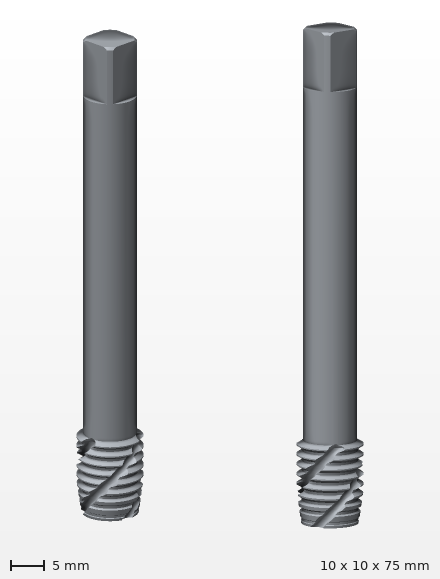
import cadquery as cq
import math

TOTAL_LENGTH = 75.0

HEAD_HEIGHT = 12.5
THREAD_DIAMETER = 10.0
ROOT_DIAMETER = 8.4
THREAD_PITCH = 1.5
CREST_WIDTH = 0.19
ROOT_WIDTH = 0.4
TOP_CREST_HEIGHT = 11.9
TIP_DIAMETER = 8.55
TAPER_LENGTH = 4.9

FLUTE_COUNT = 3
FLUTE_RADIUS = 1.35
FLUTE_FLOOR_RADIUS = 3.75
FLUTE_LEAD = 27.0
FLUTE_TOP_HEIGHT = 12.1
FLUTE_TOP_ANGLE = -87.0
RUNOUT_HEIGHT = 1.2
RUNOUT_SLOPE_ANGLE = 23.0

SHANK_DIAMETER = 8.0
DRIVE_WIDTH = 6.3
DRIVE_LENGTH = 8.9
DRIVE_CHAMFER = 0.4

THREAD_RADIUS = THREAD_DIAMETER / 2
ROOT_RADIUS = ROOT_DIAMETER / 2
TIP_RADIUS = TIP_DIAMETER / 2
SHANK_RADIUS = SHANK_DIAMETER / 2


def make_head_blank():
    """Head cylinder with a tapered lead-in below and a cone down to the shank above."""
    return (
        cq.Workplane("XZ")
        .moveTo(0, 0)
        .lineTo(TIP_RADIUS, 0)
        .lineTo(THREAD_RADIUS, TAPER_LENGTH)
        .lineTo(THREAD_RADIUS, TOP_CREST_HEIGHT + CREST_WIDTH / 2)
        .lineTo(SHANK_RADIUS, HEAD_HEIGHT)
        .lineTo(0, HEAD_HEIGHT)
        .close()
        .revolve(360, (0, 0, 0), (0, 1, 0))
    )


def make_thread_groove(height):
    """Ring with a V section and a narrow flat root, centred on the given height."""
    half_mouth = (THREAD_PITCH - CREST_WIDTH) / 2
    half_root = ROOT_WIDTH / 2
    flank_slope = (half_mouth - half_root) / (THREAD_RADIUS - ROOT_RADIUS)
    overshoot = CREST_WIDTH
    half_outer = half_mouth + flank_slope * overshoot
    outer_radius = THREAD_RADIUS + overshoot
    return (
        cq.Workplane("XZ")
        .moveTo(ROOT_RADIUS, height - half_root)
        .lineTo(outer_radius, height - half_outer)
        .lineTo(outer_radius, height + half_outer)
        .lineTo(ROOT_RADIUS, height + half_root)
        .close()
        .revolve(360, (0, 0, 0), (0, 1, 0))
    )


def make_flute(top_angle):
    """Round flute that winds around Z, then slopes outward from the given angle until it runs out."""
    twist = 360 * FLUTE_TOP_HEIGHT / FLUTE_LEAD
    centre_radius = FLUTE_FLOOR_RADIUS + FLUTE_RADIUS
    spiral = (
        cq.Workplane("XY")
        .moveTo(centre_radius, 0)
        .circle(FLUTE_RADIUS)
        .twistExtrude(FLUTE_TOP_HEIGHT, twist)
        .rotate((0, 0, 0), (0, 0, 1), -twist)
    )
    runout_shift = RUNOUT_HEIGHT * math.tan(math.radians(RUNOUT_SLOPE_ANGLE))
    runout = (
        cq.Workplane("XY", origin=(centre_radius, 0, FLUTE_TOP_HEIGHT))
        .circle(FLUTE_RADIUS)
        .workplane(offset=RUNOUT_HEIGHT)
        .center(runout_shift, 0)
        .circle(FLUTE_RADIUS)
        .loft(ruled=True)
    )
    return [cutter.rotate((0, 0, 0), (0, 0, 1), top_angle) for cutter in (spiral, runout)]


def cut_flutes(body):
    """Cut all the flutes and their run-outs from a body."""
    for index in range(FLUTE_COUNT):
        for cutter in make_flute(FLUTE_TOP_ANGLE + index * 360 / FLUTE_COUNT):
            body = body.cut(cutter)
    return body


def make_head():
    """Threaded and fluted head."""
    head = make_head_blank()
    groove_height = TOP_CREST_HEIGHT - THREAD_PITCH / 2
    while groove_height > 0:
        head = head.cut(make_thread_groove(groove_height))
        groove_height -= THREAD_PITCH
    return cut_flutes(head)


def make_shank():
    """Round shank whose upper end is flattened to a square drive and whose foot is nicked by the run-outs."""
    shank_length = TOTAL_LENGTH - HEAD_HEIGHT
    drive_base = TOTAL_LENGTH - DRIVE_LENGTH
    shank = (
        cq.Workplane("XY", origin=(0, 0, HEAD_HEIGHT))
        .circle(SHANK_RADIUS)
        .extrude(shank_length)
        .faces(">Z")
        .chamfer(DRIVE_CHAMFER)
    )
    flats = (
        cq.Workplane("XY", origin=(0, 0, drive_base))
        .rect(2 * SHANK_DIAMETER, 2 * SHANK_DIAMETER)
        .rect(DRIVE_WIDTH, DRIVE_WIDTH)
        .extrude(DRIVE_LENGTH)
    )
    return cut_flutes(shank.cut(flats))


head = make_head()
shank = make_shank()

result = cq.Compound.makeCompound([head.solids().val(), shank.solids().val()])